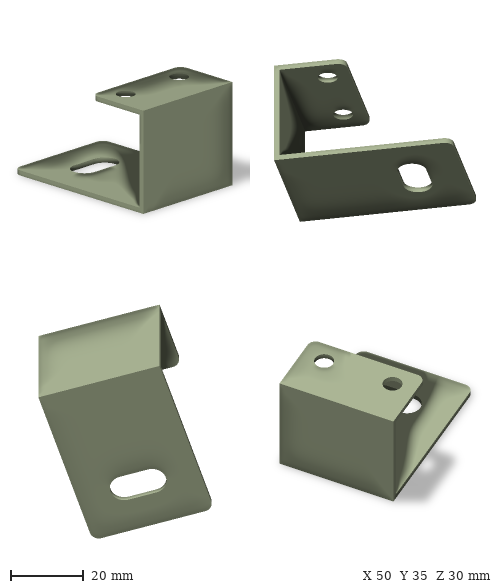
import cadquery as cq

length = 50.0
width = 35.0
height = 30.0
thickness = 1.5
top_flange_length = 20.0
corner_radius = 2.5

slot_width = 8.0
slot_length = 16.0
slot_from_front_edge = 14.0

hole_diameter = 5.5
hole_spacing = 21.0
hole_from_flange_edge = 6.35

flange_edge_x = length - top_flange_length
top_flange_z = height - thickness


def plate(start_x, bottom_z):
    """Horizontal plate reaching the back wall, with its free corners rounded."""
    blank = cq.Workplane("XY").box(
        length - start_x, width, thickness, centered=(False, True, False)
    )
    return blank.edges("|Z and <X").fillet(corner_radius).translate((start_x, 0, bottom_z))


base = plate(0, 0)
slot = (
    cq.Workplane("XY")
    .center(slot_from_front_edge, 0)
    .slot2D(slot_length, slot_width, 90)
    .extrude(thickness)
)
base = base.cut(slot)

top_flange = plate(flange_edge_x, top_flange_z)
hole_x = flange_edge_x + hole_from_flange_edge
holes = (
    cq.Workplane("XY", origin=(hole_x, 0, top_flange_z))
    .pushPoints([(0, -hole_spacing / 2), (0, hole_spacing / 2)])
    .circle(hole_diameter / 2)
    .extrude(thickness)
)
top_flange = top_flange.cut(holes)

back_wall = (
    cq.Workplane("XY")
    .box(thickness, width, height, centered=(False, True, False))
    .translate((length - thickness, 0, 0))
)

result = base.union(back_wall).union(top_flange).clean()